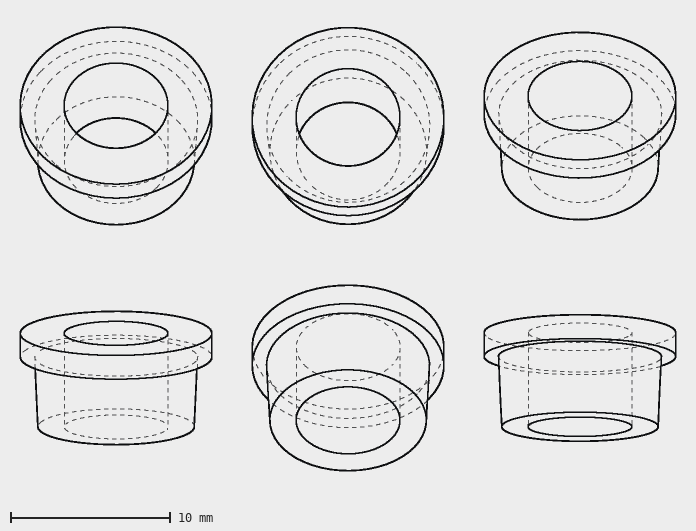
import cadquery as cq

flange_diameter = 12.0
flange_thickness = 1.524
total_height = 6.0
bore_diameter = 6.5
body_top_diameter = 10.2
body_bottom_diameter = 9.8

body_height = total_height - flange_thickness


def bushing_profile():
    """Half section in the XZ plane, with the free end of the body at Z = 0."""
    return (
        cq.Workplane("XZ")
        .moveTo(bore_diameter / 2, 0)
        .lineTo(body_bottom_diameter / 2, 0)
        .lineTo(body_top_diameter / 2, body_height)
        .lineTo(flange_diameter / 2, body_height)
        .lineTo(flange_diameter / 2, total_height)
        .lineTo(bore_diameter / 2, total_height)
        .close()
    )


result = bushing_profile().revolve(360, (0, 0, 0), (0, 1, 0))